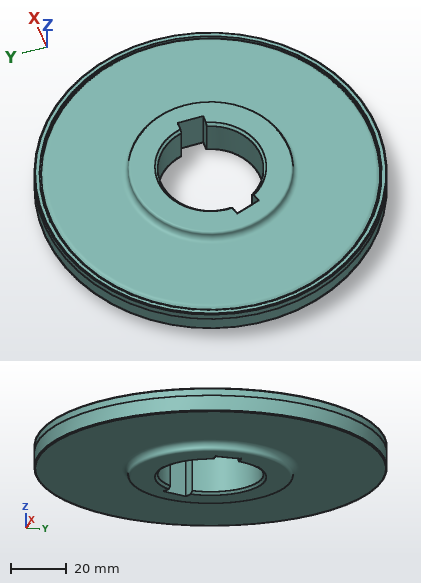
import cadquery as cq
import math

outer_radius = 63.5
hub_half_height = 7.94
plate_top = 4.5
plate_bottom = -4.7
flange_edge_chamfer = 0.4

hub_radius = 29.7
hub_edge_fillet = 1.0
hub_blend_start = hub_half_height - hub_edge_fillet
upper_blend_radius = hub_blend_start - plate_top
lower_blend_radius = hub_blend_start + plate_bottom

bore_radius = 19.0
bore_chamfer = 1.0
keyway_width = 9.7
keyway_reach = 22.5
keyway_angles = (0.0, 198.0)

plate_flat_radius = 59.0
bevel_start_radius = 60.2
plate_edge_radius = 61.0
bevel_angle = math.radians(35.0)
edge_round_width = bevel_start_radius - plate_flat_radius
edge_round_radius = edge_round_width / math.sin(bevel_angle)
bevel_top = plate_top - edge_round_radius * (1 - math.cos(bevel_angle))
bevel_bottom = bevel_top - (plate_edge_radius - bevel_start_radius) * math.tan(bevel_angle)

ring_inner_radius = 61.6
ring_bottom = 1.3
ring_top = 4.2
ring_edge_chamfer = 0.4
shoulder_top = 2.9


def arc_point(center_r, center_z, radius, angle):
    """Point on an arc in the radial section; the angle in degrees starts at the outward direction."""
    turn = math.radians(angle)
    return center_r + radius * math.cos(turn), center_z + radius * math.sin(turn)


def make_wheel_blank():
    """Solid of revolution with the hub, plate, grooved edge and flange."""
    fillet_center_r = hub_radius - hub_edge_fillet
    upper_blend_r = hub_radius + upper_blend_radius
    lower_blend_r = hub_radius + lower_blend_radius
    edge_mid_angle = 90 - math.degrees(bevel_angle) / 2
    section = (
        cq.Workplane("XZ")
        .moveTo(0, -hub_half_height)
        .lineTo(0, hub_half_height)
        .lineTo(fillet_center_r, hub_half_height)
        .threePointArc(
            arc_point(fillet_center_r, hub_blend_start, hub_edge_fillet, 45),
            (hub_radius, hub_blend_start),
        )
        .threePointArc(
            arc_point(upper_blend_r, hub_blend_start, upper_blend_radius, 225),
            (upper_blend_r, plate_top),
        )
        .lineTo(plate_flat_radius, plate_top)
        .threePointArc(
            arc_point(plate_flat_radius, plate_top - edge_round_radius, edge_round_radius, edge_mid_angle),
            (bevel_start_radius, bevel_top),
        )
        .lineTo(plate_edge_radius, bevel_bottom)
        .lineTo(plate_edge_radius, shoulder_top)
        .lineTo(ring_inner_radius, shoulder_top)
        .lineTo(ring_inner_radius, ring_bottom)
        .lineTo(outer_radius, ring_bottom)
        .lineTo(outer_radius, plate_bottom + flange_edge_chamfer)
        .lineTo(outer_radius - flange_edge_chamfer, plate_bottom)
        .lineTo(lower_blend_r, plate_bottom)
        .threePointArc(
            arc_point(lower_blend_r, -hub_blend_start, lower_blend_radius, 135),
            (hub_radius, -hub_blend_start),
        )
        .threePointArc(
            arc_point(fillet_center_r, -hub_blend_start, hub_edge_fillet, -45),
            (fillet_center_r, -hub_half_height),
        )
        .close()
    )
    return section.revolve(360, (0, 0, 0), (0, 1, 0))


def make_bore():
    """Cutter for the through bore, chamfered at both mouths."""
    mouth_radius = bore_radius + bore_chamfer
    straight_end = hub_half_height - bore_chamfer
    section = cq.Workplane("XZ").polyline([
        (0, -hub_half_height),
        (mouth_radius, -hub_half_height),
        (bore_radius, -straight_end),
        (bore_radius, straight_end),
        (mouth_radius, hub_half_height),
        (0, hub_half_height),
    ]).close()
    return section.revolve(360, (0, 0, 0), (0, 1, 0))


def make_keyway(angle):
    """Cutter for one through keyway, reaching outward from the bore axis."""
    keyway = cq.Workplane("XY").box(
        keyway_reach, keyway_width, 2 * hub_half_height, centered=(False, True, True)
    )
    return keyway.rotate((0, 0, 0), (0, 0, 1), angle)


def make_wheel():
    wheel = make_wheel_blank().cut(make_bore())
    for angle in keyway_angles:
        wheel = wheel.cut(make_keyway(angle))
    return wheel


def make_rim_ring():
    """Plain ring with a small chamfer on its upper outer edge."""
    ring = (
        cq.Workplane("XY")
        .workplane(offset=ring_bottom)
        .circle(outer_radius)
        .extrude(ring_top - ring_bottom)
        .faces(">Z")
        .chamfer(ring_edge_chamfer)
    )
    return ring.faces(">Z").workplane().circle(ring_inner_radius).cutThruAll()


wheel = make_wheel()
rim_ring = make_rim_ring()

result = cq.Compound.makeCompound([wheel.solids().val(), rim_ring.solids().val()])